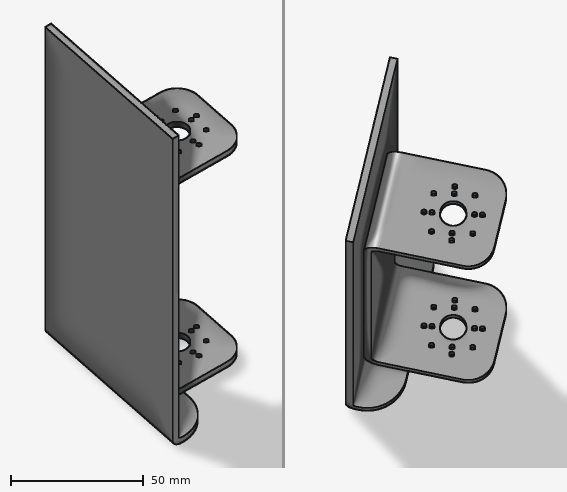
import cadquery as cq

sheet = 3.0

plate_width = 76.6
plate_height = 164.1
plate_flange_depth = 20.0
plate_flange_corner_radius = 15.0
plate_bend_inner_radius = 1.0

bracket_width = 40.0
bracket_height = 115.0
bracket_depth = 48.0
bracket_flange_corner_radius = 10.0
bracket_bend_inner_radius = 3.0

pattern_to_flange_tip = 18.0
bore_diameter = 10.0
small_hole_diameter = 2.0
inner_ring_radius = 8.0
inner_ring_count = 4
outer_ring_radius = 11.0
outer_ring_count = 8
pattern_turn = 9.5

bracket_front = sheet
bracket_bottom = sheet
bracket_tip = bracket_front + bracket_depth
pattern_centre_y = bracket_tip - pattern_to_flange_tip


def block(width, y_min, y_max, z_min, z_max):
    """Box centred on X = 0 that spans the given Y and Z ranges."""
    size_y = y_max - y_min
    size_z = z_max - z_min
    box = cq.Workplane("XY").box(width, size_y, size_z, centered=(True, False, False))
    return box.translate((0, y_min, z_min))


def make_plate():
    """L-shaped plate with a rounded bend and rounded flange corners."""
    outer = block(plate_width, 0, plate_flange_depth, 0, plate_height)
    outer = outer.edges("|X and <Y and <Z").fillet(plate_bend_inner_radius + sheet)
    outer = outer.edges("|Z and >Y").fillet(plate_flange_corner_radius)

    inner = block(plate_width, sheet, plate_flange_depth, sheet, plate_height)
    inner = inner.edges("|X and <Y and <Z").fillet(plate_bend_inner_radius)
    return outer.cut(inner)


def make_hole_pattern():
    """Cutters for the bore and its two rings of small holes, through both flanges."""
    base = cq.Workplane("XY", origin=(0, pattern_centre_y, bracket_bottom))
    cutters = base.circle(bore_diameter / 2).extrude(bracket_height)
    rings = [(inner_ring_radius, inner_ring_count), (outer_ring_radius, outer_ring_count)]
    for radius, count in rings:
        ring = base.polarArray(radius, pattern_turn, 360, count)
        cutters = cutters.add(ring.circle(small_hole_diameter / 2).extrude(bracket_height))
    return cutters.combine()


def make_bracket():
    """U-shaped bracket with rounded bends, rounded flange corners and drilled flanges."""
    bracket_top = bracket_bottom + bracket_height
    outer = block(bracket_width, bracket_front, bracket_tip, bracket_bottom, bracket_top)
    outer = outer.edges("|X and <Y").fillet(bracket_bend_inner_radius + sheet)
    outer = outer.edges("|Z and >Y").fillet(bracket_flange_corner_radius)

    inner = block(
        bracket_width,
        bracket_front + sheet,
        bracket_tip,
        bracket_bottom + sheet,
        bracket_top - sheet,
    )
    inner = inner.edges("|X and <Y").fillet(bracket_bend_inner_radius)
    return outer.cut(inner).cut(make_hole_pattern())


plate = make_plate()
bracket = make_bracket()

result = cq.Compound.makeCompound([plate.solids().val(), bracket.solids().val()])